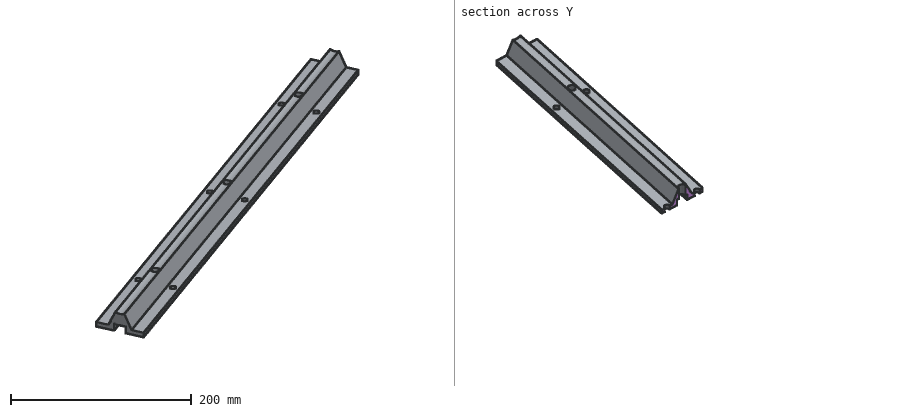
import cadquery as cq
import math

LENGTH = 599.5
BASE_WIDTH = 57.0
HEIGHT = 24.73

FLANGE_THICKNESS = 6.0
RIDGE_ROOT_WIDTH = 28.2
RIDGE_TOP_WIDTH = 10.8
CRADLE_DIAMETER = 25.0
CHANNEL_WIDTH = 14.0
CHANNEL_HEIGHT = 8.5

HOLE_ROWS = 3
HOLE_PITCH = 200.0
FIRST_ROW_MARGIN = 100.0
RIDGE_HOLE_DIAMETER = 9.0
FLANGE_HOLE_DIAMETER = 6.6
FLANGE_HOLE_SPACING = 42.0


def make_rail():
    """Extrude the flanged ridge, with its concave cradle and open channel, along Y."""
    half_base = BASE_WIDTH / 2
    half_root = RIDGE_ROOT_WIDTH / 2
    half_top = RIDGE_TOP_WIDTH / 2
    half_channel = CHANNEL_WIDTH / 2
    cradle_radius = CRADLE_DIAMETER / 2
    cradle_depth = cradle_radius - math.sqrt(cradle_radius**2 - half_top**2)

    profile = (
        cq.Workplane("XZ", origin=(0, LENGTH / 2, 0))
        .moveTo(-half_base, 0)
        .lineTo(-half_base, FLANGE_THICKNESS)
        .lineTo(-half_root, FLANGE_THICKNESS)
        .lineTo(-half_top, HEIGHT)
        .threePointArc((0, HEIGHT - cradle_depth), (half_top, HEIGHT))
        .lineTo(half_root, FLANGE_THICKNESS)
        .lineTo(half_base, FLANGE_THICKNESS)
        .lineTo(half_base, 0)
        .lineTo(half_channel, 0)
        .lineTo(half_channel, CHANNEL_HEIGHT)
        .lineTo(-half_channel, CHANNEL_HEIGHT)
        .lineTo(-half_channel, 0)
        .close()
    )
    return profile.extrude(LENGTH)


def make_hole_line(x, diameter):
    """Vertical through-hole cutters, one per row, at a given X position."""
    first_row_y = FIRST_ROW_MARGIN - LENGTH / 2
    centres = [(x, first_row_y + row * HOLE_PITCH) for row in range(HOLE_ROWS)]
    return cq.Workplane("XY").pushPoints(centres).circle(diameter / 2).extrude(HEIGHT)


result = make_rail().cut(make_hole_line(0, RIDGE_HOLE_DIAMETER))
for side in (-1, 1):
    flange_hole_x = side * FLANGE_HOLE_SPACING / 2
    result = result.cut(make_hole_line(flange_hole_x, FLANGE_HOLE_DIAMETER))